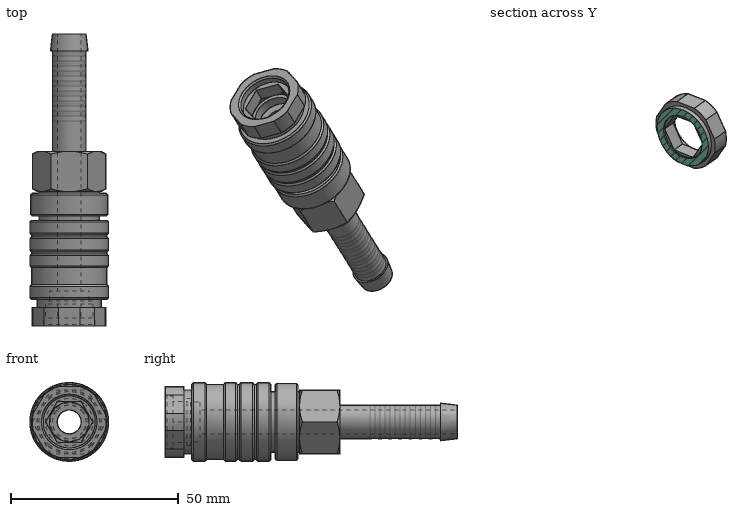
import cadquery as cq
import math

LENGTH = 87.0

FRONT_HEX_FLATS = 21.05
FRONT_HEX_DIAMETER = 22.0
FRONT_HEX_LENGTH = 5.6
FRONT_NECK_DIAMETER = 19.1

SLEEVE_FRONT = 7.9
SLEEVE_REAR = 31.5
BAND_DIAMETER = 23.5
BAND_CHAMFER = 0.5
SLEEVE_CORE_DIAMETER = BAND_DIAMETER - 2 * BAND_CHAMFER
BANDS = [(SLEEVE_FRONT, 12.35), (17.4, 21.5), (22.1, 26.5), (27.15, SLEEVE_REAR)]

REAR_NECK_DIAMETER = 18.1
COLLAR_FRONT = 32.7
COLLAR_REAR = 39.6
COLLAR_DIAMETER = 23.0
COLLAR_CHAMFER = 0.5

NUT_FRONT = 40.0
NUT_REAR = 52.0
NUT_FLATS = 19.0
NUT_CHAMFER_ANGLE = 30.0

STEM_DIAMETER = 10.1
GROOVE_COUNT = 7
GROOVED_LENGTH = 21.0
GROOVE_PITCH = GROOVED_LENGTH / GROOVE_COUNT
GROOVE_DEPTH = 0.07
TIP_LENGTH = 5.05
TIP_END_DIAMETER = 10.0
TIP_BASE_DIAMETER = 11.2
TIP_BULGE = 0.035

SOCKET_DIAMETER = 15.5
SOCKET_DEPTH = 2.35
SOCKET_CHAMFER = 0.5
SOCKET_CHAMFER_ANGLE = 45.0
SOCKET_HEX_FLATS = 12.2
SOCKET_HEX_END = 6.5
RELIEF_END = 7.5
BORE_DIAMETER = 11.8
BORE_END = 10.4
HOLE_DIAMETER = 7.05


def corner_diameter(flats):
    """Width across corners of a hexagon with the given width across flats."""
    return flats / math.cos(math.pi / 6)


def disc(diameter, front, rear):
    """Cylinder about Y from Y = front to Y = rear."""
    plane = cq.Workplane("XZ", origin=(0, front, 0))
    return plane.circle(diameter / 2).extrude(front - rear)


def hexagon(flats, front, rear):
    """Hexagonal bar about Y with two corners on the X axis."""
    plane = cq.Workplane("XZ", origin=(0, front, 0))
    return plane.polygon(6, corner_diameter(flats)).extrude(front - rear)


def front_hexagon():
    """Hexagon with its corners turned round."""
    blank = disc(FRONT_HEX_DIAMETER, 0, FRONT_HEX_LENGTH)
    return blank.intersect(hexagon(FRONT_HEX_FLATS, 0, FRONT_HEX_LENGTH))


def sleeve():
    """Core with raised grip bands, each chamfered at both ends."""
    body = disc(SLEEVE_CORE_DIAMETER, SLEEVE_FRONT + BAND_CHAMFER, SLEEVE_REAR - BAND_CHAMFER)
    for front, rear in BANDS:
        body = body.union(disc(BAND_DIAMETER, front, rear).edges().chamfer(BAND_CHAMFER))
    return body


def collar():
    """Plain collar chamfered at both ends."""
    return disc(COLLAR_DIAMETER, COLLAR_FRONT, COLLAR_REAR).edges().chamfer(COLLAR_CHAMFER)


def nut():
    """Hexagon nut with conical corner chamfers at both ends."""
    width = corner_diameter(NUT_FLATS)
    radial = (width - NUT_FLATS) / 2
    axial = radial * math.tan(math.radians(NUT_CHAMFER_ANGLE))
    blank = disc(width, NUT_FRONT, NUT_REAR)
    blank = blank.faces("<Y").chamfer(axial, radial)
    blank = blank.faces(">Y").chamfer(axial, radial)
    return blank.intersect(hexagon(NUT_FLATS, NUT_FRONT, NUT_REAR))


def hose_stem():
    """Stem turned from a half outline of radius against Y."""
    radius = STEM_DIAMETER / 2
    tip_start = LENGTH - TIP_LENGTH
    grooves_start = tip_start - GROOVED_LENGTH
    outline = cq.Workplane("XY").moveTo(0, NUT_FRONT).lineTo(radius, NUT_FRONT)
    outline = outline.lineTo(radius, grooves_start)
    for i in range(GROOVE_COUNT):
        front = grooves_start + i * GROOVE_PITCH
        outline = outline.lineTo(radius - GROOVE_DEPTH, front + GROOVE_PITCH / 2)
        outline = outline.lineTo(radius, front + GROOVE_PITCH)
    tip_mid_radius = (TIP_BASE_DIAMETER + TIP_END_DIAMETER) / 4 + TIP_BULGE
    outline = outline.lineTo(TIP_BASE_DIAMETER / 2, tip_start)
    outline = outline.threePointArc(
        (tip_mid_radius, tip_start + TIP_LENGTH / 2), (TIP_END_DIAMETER / 2, LENGTH)
    )
    outline = outline.lineTo(0, LENGTH).close()
    return outline.revolve(360, (0, 0, 0), (0, 1, 0))


def inner_space():
    """Chamfered socket, hexagon socket, relief groove, bore and through hole."""
    space = disc(SOCKET_DIAMETER, 0, SOCKET_DEPTH)
    mouth = cq.Workplane("XZ").circle(SOCKET_DIAMETER / 2 + SOCKET_CHAMFER)
    space = space.union(mouth.extrude(-SOCKET_CHAMFER, taper=SOCKET_CHAMFER_ANGLE))
    space = space.union(hexagon(SOCKET_HEX_FLATS, 0, SOCKET_HEX_END))
    space = space.union(disc(corner_diameter(SOCKET_HEX_FLATS), SOCKET_HEX_END, RELIEF_END))
    space = space.union(disc(BORE_DIAMETER, 0, BORE_END))
    return space.union(disc(HOLE_DIAMETER, 0, LENGTH))


outside = front_hexagon()
outside = outside.union(disc(FRONT_NECK_DIAMETER, FRONT_HEX_LENGTH, SLEEVE_FRONT))
outside = outside.union(sleeve())
outside = outside.union(disc(REAR_NECK_DIAMETER, SLEEVE_REAR, NUT_FRONT))
outside = outside.union(collar()).union(nut()).union(hose_stem())
result = outside.cut(inner_space())